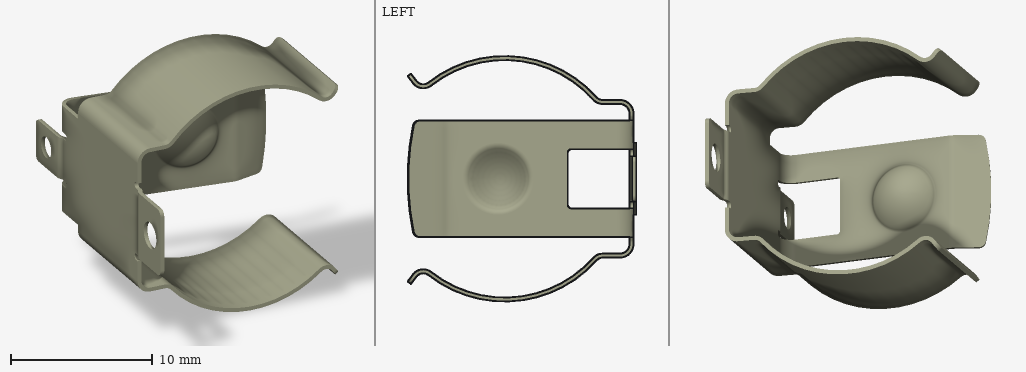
import cadquery as cq
import math


overall_length = 19.89
sheet = 0.3
clip_width = 9.5

height = 17.4
bow_radius = height / 2
bow_centre_y = 9.13
base_half_height = 4.61
arm_root_bend = 0.68
arm_neck_bend = 0.62
valley_y = 14.9
lip_angle = 53
lip_length = 0.64
lip_corner = 0.5

tongue_width = 8.27
tongue_bend_x = -2.33
tongue_bend = 0.8
tongue_lean = 7.1
flap_bend_y = 13.13
flap_bend = 0.75
flap_lean = 14
flap_length = 2.6
flap_crown = 0.48
flap_corner = 0.5
window_top_y = 4.65
window_corner = 0.24

dimple_y = 9.6
dimple_radius = 2.95
dimple_height = 1.3
dimple_rim_bend = 0.2

left_ear_width = 3.22
left_ear_end_x = -6.35
left_hole_diameter = 1.61
left_hole_inset = 1.65
right_ear_width = 5.11
right_ear_end_x = overall_length + left_ear_end_x
right_hole_diameter = 2.0
right_hole_inset = 1.67
ear_corner = 0.44
ear_drop = 0.2
jog_angle = 26
jog_bend = 0.3
relief_width = 0.48
relief_depth = 0.5


def line(length):
    return (length, 0, 0)


def bend(inside_radius, angle):
    """Bend by an angle in degrees; positive turns left."""
    return (0, inside_radius + sheet / 2, angle)


def step(point, heading, distance):
    a = math.radians(heading)
    return (point[0] + distance * math.cos(a), point[1] + distance * math.sin(a))


def strip(plane, start, heading, moves):
    """Closed outline of a bent sheet that follows a mid-line of lines and bends.

    Returns the outline together with the mid-line's end point and heading.
    """
    def faces(point, direction):
        return [step(point, direction + side, sheet / 2) for side in (90, -90)]

    point = start
    first_left, first_right = faces(point, heading)
    left = []
    right = []
    for length, radius, angle in moves:
        middle = None
        if angle:
            side = math.copysign(90, angle)
            centre = step(point, heading + side, radius)
            middle = faces(step(centre, heading + angle / 2 - side, radius), heading + angle / 2)
            heading += angle
            point = step(centre, heading - side, radius)
        else:
            point = step(point, heading, length)
        end_left, end_right = faces(point, heading)
        left.append((end_left, middle and middle[0]))
        right.append((end_right, middle and middle[1]))

    outline = cq.Workplane(plane).moveTo(*first_left)
    for end, middle in left:
        outline = outline.threePointArc(middle, end) if middle else outline.lineTo(*end)
    outline = outline.lineTo(*right[-1][0])
    returns = [first_right] + [end for end, _ in right[:-1]]
    for end, (_, middle) in zip(reversed(returns), reversed(right)):
        outline = outline.threePointArc(middle, end) if middle else outline.lineTo(*end)
    return outline.close(), point, heading


def make_arm():
    """Upper arm: root bend, neck, bow, dip and lip."""
    flange_z = base_half_height + arm_root_bend + sheet
    neck_to_bow = bow_radius + arm_neck_bend
    neck_turn = math.degrees(math.acos((flange_z + arm_neck_bend) / neck_to_bow))
    neck_y = bow_centre_y - neck_to_bow * math.sin(math.radians(neck_turn))
    valley_turn = math.degrees(math.asin((valley_y - bow_centre_y) / neck_to_bow))
    moves = [
        bend(arm_root_bend, -90),
        line(neck_y - arm_root_bend - sheet),
        bend(arm_neck_bend, neck_turn),
        bend(bow_radius - sheet, -neck_turn - valley_turn),
        bend(arm_neck_bend, valley_turn + lip_angle),
        line(lip_length),
    ]
    outline, tip, _ = strip("YZ", (sheet / 2, base_half_height), 90, moves)
    tip_face = cq.selectors.NearestToPointSelector((clip_width / 2, *tip))
    return outline.extrude(clip_width).faces(tip_face).edges("not |X").fillet(lip_corner)


def make_flap(end, heading):
    """Flat end of the tongue with a crowned edge and rounded corners."""
    a = math.radians(heading)
    normal = (-math.sin(a), math.cos(a), 0)
    half = tongue_width / 2
    shoulder = flap_length - flap_crown
    along = (math.cos(a), math.sin(a), 0)
    plane = cq.Plane(origin=(*end, 0), xDir=along, normal=normal)
    flap = (
        cq.Workplane(plane)
        .moveTo(0, -half)
        .lineTo(shoulder, -half)
        .threePointArc((flap_length, 0), (shoulder, half))
        .lineTo(0, half)
        .close()
        .extrude(sheet / 2, both=True)
    )
    for side in (-half, half):
        corner = step(end, heading, shoulder)
        nearest = cq.selectors.NearestToPointSelector((*corner, side))
        flap = flap.edges(nearest).fillet(flap_corner)
    return flap


def form_dimple(tongue, point):
    """Press the dimple through the tongue at a point on its outer face.

    In the dimple's plane, X runs along the tongue and -Y points from the outer face into the clip.
    """
    a = math.radians(tongue_lean)
    plane = cq.Plane(origin=(*point, 0), xDir=(math.sin(a), math.cos(a), 0), normal=(0, 0, 1))
    centre_y = dimple_radius - dimple_height - sheet
    rim_outer = dimple_rim_bend + sheet
    rim_y = -rim_outer
    reach = dimple_radius + dimple_rim_bend
    rim_x = math.sqrt(reach ** 2 - (centre_y - rim_y) ** 2)
    slope = math.asin(rim_x / reach)
    inner_radius = dimple_radius - sheet

    def on_sphere(radius, angle):
        return (radius * math.sin(angle), centre_y - radius * math.cos(angle))

    def on_rim(radius, angle):
        return (rim_x - radius * math.sin(angle), rim_y + radius * math.cos(angle))

    skin = (
        cq.Workplane(plane)
        .moveTo(*on_sphere(inner_radius, 0))
        .threePointArc(on_sphere(inner_radius, slope / 2), on_sphere(inner_radius, slope))
        .threePointArc(on_rim(rim_outer, slope / 2), on_rim(rim_outer, 0))
        .lineTo(*on_rim(dimple_rim_bend, 0))
        .threePointArc(on_rim(dimple_rim_bend, slope / 2), on_rim(dimple_rim_bend, slope))
        .threePointArc(on_sphere(dimple_radius, slope / 2), on_sphere(dimple_radius, 0))
        .close()
        .revolve(360, (0, 0), (0, 1))
    )
    opening = (
        cq.Workplane(plane)
        .moveTo(0, sheet)
        .lineTo(rim_x, sheet)
        .lineTo(rim_x, -2 * sheet)
        .lineTo(0, -2 * sheet)
        .close()
        .revolve(360, (0, 0), (0, 1))
    )
    return tongue.cut(opening).union(skin)


def make_tongue():
    """Tongue from the base to its flap, with window and dimple."""
    lean = math.radians(tongue_lean)
    middle_radius = tongue_bend + sheet / 2
    bend_end_x = tongue_bend_x - middle_radius * math.cos(lean)
    bend_end_y = sheet / 2 + middle_radius * (1 + math.sin(lean))
    moves = [
        line(-tongue_bend_x),
        bend(tongue_bend, -90 - tongue_lean),
        line((flap_bend_y - bend_end_y) / math.cos(lean)),
        bend(flap_bend, tongue_lean + flap_lean),
    ]
    outline, end, heading = strip("XY", (0, sheet / 2), 180, moves)
    tongue = outline.extrude(tongue_width / 2, both=True)
    tongue = tongue.union(make_flap(end, heading))

    outer_face_x = bend_end_x - sheet / 2 / math.cos(lean)
    dimple_x = outer_face_x + (dimple_y - bend_end_y) * math.tan(lean)
    tongue = form_dimple(tongue, (dimple_x, dimple_y))

    window = (
        cq.Workplane("XY")
        .box(-tongue_bend_x, window_top_y + sheet, left_ear_width + 2 * relief_width,
             centered=(False, False, True))
        .edges("|X and >Y")
        .fillet(window_corner)
        .translate((2 * tongue_bend_x, -sheet, 0))
    )
    return tongue.cut(window)


def relief_slots(edge_x, ear_width):
    """Round-ended slots on both sides of an ear, cut inwards from the edge of the base."""
    offset = (ear_width + relief_width) / 2
    length = 2 * relief_depth
    return (
        cq.Workplane("XZ", origin=(edge_x, 0, 0))
        .pushPoints([(0, -offset), (0, offset)])
        .slot2D(length, relief_width)
        .extrude(2 * sheet, both=True)
    )


def make_ear(edge_x, end_x, width, hole_diameter, hole_inset):
    """Mounting ear joggled outwards from the base edge, with rounded corners and a hole."""
    direction = math.copysign(1, end_x - edge_x)
    heading = 90 - 90 * direction
    turn = -direction * jog_angle
    a = math.radians(jog_angle)
    middle_radius = jog_bend + sheet / 2
    slope_length = (ear_drop - 2 * middle_radius * (1 - math.cos(a))) / math.sin(a)
    jog_run = 2 * middle_radius * math.sin(a) + slope_length * math.cos(a)
    moves = [
        bend(jog_bend, turn),
        line(slope_length),
        bend(jog_bend, -turn),
        line(abs(end_x - edge_x) - jog_run),
    ]
    outline, _, _ = strip("XY", (edge_x, sheet / 2), heading, moves)
    ear = outline.extrude(width / 2, both=True)
    ear = ear.faces(">X" if direction > 0 else "<X").edges("|Y").fillet(ear_corner)
    hole = (
        cq.Workplane("XZ", origin=(end_x - direction * hole_inset, 0, 0))
        .circle(hole_diameter / 2)
        .extrude(2 * (sheet + ear_drop), both=True)
    )
    return ear.cut(hole)


base = cq.Workplane("XY").box(clip_width, sheet, 2 * base_half_height, centered=(False, False, True))
upper_arm = make_arm()
lower_arm = upper_arm.mirror("XY")
result = base.union(make_tongue()).union(upper_arm).union(lower_arm)

ears = (
    (tongue_bend_x, left_ear_end_x, left_ear_width, left_hole_diameter, left_hole_inset),
    (clip_width, right_ear_end_x, right_ear_width, right_hole_diameter, right_hole_inset),
)
for edge_x, end_x, width, hole_diameter, hole_inset in ears:
    result = result.cut(relief_slots(edge_x, width))
    result = result.union(make_ear(edge_x, end_x, width, hole_diameter, hole_inset))